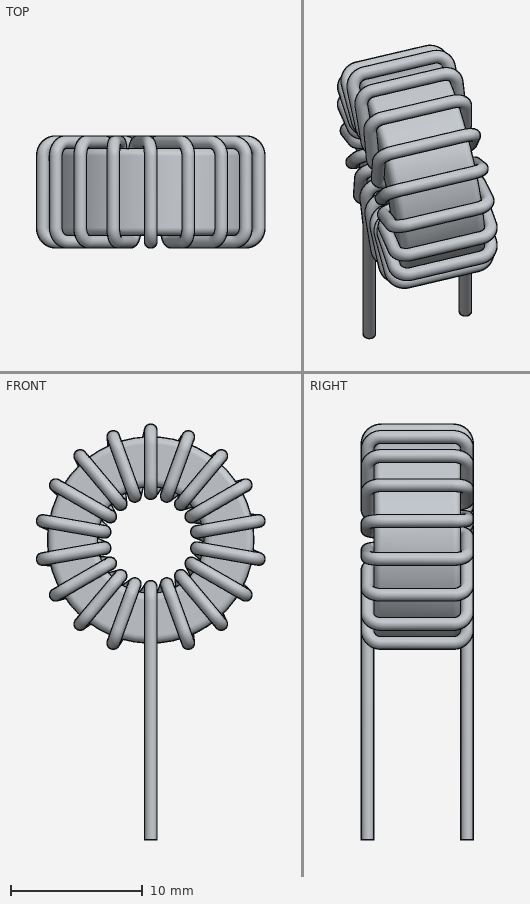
import cadquery as cq
import math


wire_diameter = 0.97
core_outer_radius = 7.85
core_inner_radius = 4.05
core_width = 6.60
core_edge_fillet = 0.56
turn_positions = 18
lead_bottom_z = -22.80
lead_joint_z = -6.86

wire_radius = wire_diameter / 2
turn_angle = 360 / turn_positions
bend_radius = core_edge_fillet + wire_radius
outer_run_radius = core_outer_radius + wire_radius
inner_run_radius = core_inner_radius - wire_radius
back_y = core_width / 2 + wire_radius
front_y = -back_y
bottom_angle = 270

straight_tolerance = 1e-4


def ring_point(radius, angle, y):
    """Point at a radius and angle (from +X toward +Z) around the core axis."""
    turn = math.radians(angle)
    return cq.Vector(radius * math.cos(turn), y, radius * math.sin(turn))


def winding_corners():
    """Sharp corners of the wire centreline, from the front lead tip to the back lead tip."""
    corners = [
        cq.Vector(0, front_y, lead_bottom_z),
        cq.Vector(0, front_y, lead_joint_z),
    ]
    for turn in range(turn_positions):
        angle = bottom_angle - turn * turn_angle
        next_angle = angle - turn_angle
        if turn > 0:
            corners.append(ring_point(outer_run_radius, angle, front_y))
        corners.append(ring_point(inner_run_radius, angle, front_y))
        corners.append(ring_point(inner_run_radius, angle, back_y))
        if turn < turn_positions - 1:
            corners.append(ring_point(outer_run_radius, next_angle, back_y))
    corners.append(cq.Vector(0, back_y, lead_joint_z))
    corners.append(cq.Vector(0, back_y, lead_bottom_z))
    return corners


def rounded_path(corners, radius):
    """Wire through the corners, with an arc of the given radius at every change of direction."""
    edges = []
    start = corners[0]
    for before, corner, after in zip(corners, corners[1:], corners[2:]):
        incoming = (corner - before).normalized()
        outgoing = (after - corner).normalized()
        bend_angle = incoming.getAngle(outgoing)
        setback = radius * math.tan(bend_angle / 2)
        arc_start = corner - incoming * setback
        edges.append(cq.Edge.makeLine(start, arc_start))
        start = arc_start
        if bend_angle > straight_tolerance:
            arc_end = corner + outgoing * setback
            edges.append(cq.Edge.makeTangentArc(arc_start, incoming, arc_end))
            start = arc_end
    edges.append(cq.Edge.makeLine(start, corners[-1]))
    return cq.Wire.assembleEdges(edges)


def make_core():
    """Ring with all four circular edges rounded."""
    return (
        cq.Workplane("XZ", origin=(0, core_width / 2, 0))
        .circle(core_outer_radius)
        .circle(core_inner_radius)
        .extrude(core_width)
        .edges("%CIRCLE")
        .fillet(core_edge_fillet)
    )


def make_winding():
    """Round wire, swept run by run and bend by bend along the path and joined into one solid."""
    path = rounded_path(winding_corners(), bend_radius)
    pieces = []
    for edge in path.Edges():
        section = cq.Plane(origin=edge.positionAt(0), normal=edge.tangentAt(0))
        piece = cq.Workplane(section).circle(wire_radius).sweep(cq.Workplane(edge))
        pieces.append(piece.val())
    return cq.Workplane(pieces[0].fuse(*pieces[1:]).Solids()[0])


core = make_core()
winding = make_winding()

result = cq.Compound.makeCompound([core.val(), winding.val()])